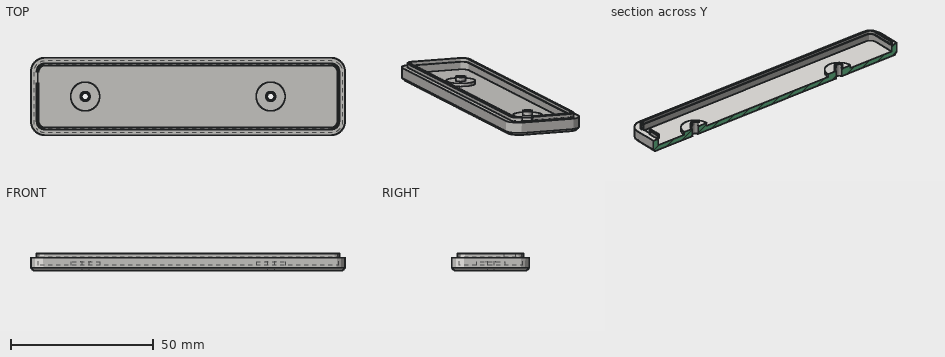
import cadquery as cq

length = 110.2
width = 27.2
body_height = 4.6
corner_radius = 5.0
bottom_chamfer = 1.0

total_height = 6.2
rim_inset = 2.0
rim_chamfer = 0.2

floor_thickness = 2.1
cavity_inset = 2.4
cavity_top = 4.8
mouth_inset = 2.8

notch_length = 4.0
notch_end = width / 2 - corner_radius

boss_left_x = -36.0
boss_spacing = 65
pad_diameter = 10.1
pad_height = 1.1
sleeve_diameter = 3.4
sleeve_height = 1.4
hole_diameter = 2.4


def rounded_block(inset, bottom, top):
    """Block whose outline is the body outline moved inwards by inset."""
    return (
        cq.Workplane("XY", origin=(0, 0, bottom))
        .rect(length - 2 * inset, width - 2 * inset)
        .extrude(top - bottom)
        .edges("|Z")
        .fillet(corner_radius - inset)
    )


def cylinder(diameter, x, bottom, top):
    """Upright cylinder on the lengthwise centreline."""
    return cq.Workplane("XY", origin=(x, 0, bottom)).circle(diameter / 2).extrude(top - bottom)


def make_body():
    """Solid slab with a chamfered base."""
    return rounded_block(0, 0, body_height).faces("<Z").edges().chamfer(bottom_chamfer)


def make_rim_step():
    """Solid raised step, chamfered along its top edge, that becomes the rim once hollowed."""
    return rounded_block(rim_inset, body_height, total_height).faces(">Z").edges().chamfer(rim_chamfer)


def make_notch():
    """Cutter that opens the rim at the -X end, down to the top of the body."""
    return (
        cq.Workplane("XY", origin=(-length / 2, notch_end - notch_length, body_height))
        .box(mouth_inset, notch_length, total_height - body_height, centered=False)
    )


def make_boss(x):
    """Pad and sleeve rising from the cavity floor."""
    pad_top = floor_thickness + pad_height
    pad = cylinder(pad_diameter, x, floor_thickness, pad_top)
    return pad.union(cylinder(sleeve_diameter, x, pad_top, pad_top + sleeve_height))


cavity = rounded_block(cavity_inset, floor_thickness, cavity_top)
mouth = rounded_block(mouth_inset, cavity_top, total_height)

result = make_body().union(make_rim_step())
result = result.cut(cavity).cut(mouth).cut(make_notch())

for boss_x in (boss_left_x, boss_left_x + boss_spacing):
    result = result.union(make_boss(boss_x))
    result = result.cut(cylinder(hole_diameter, boss_x, 0, total_height))